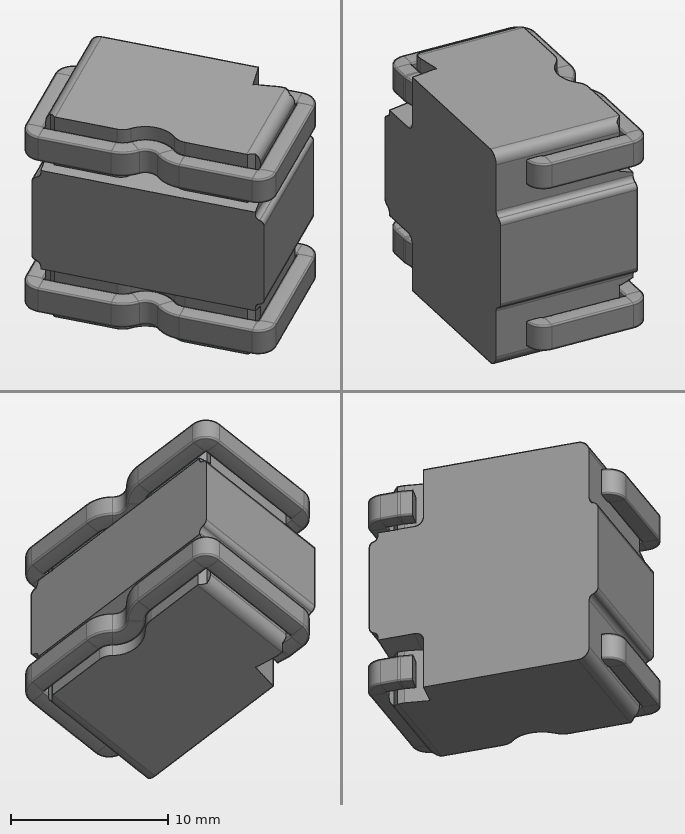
import cadquery as cq
import math


clip_width = 16.8
strip_thickness = 1.2
strip_height = 1.81
strip_center_z = 5.91
strip_crown = 0.029
strip_edge_radius = 0.12
bend_radius = 0.02
left_leg_back = -3.4
right_leg_back = -1.6
tail_bend_x = 6.01
tail_length = 0.77
tail_angle = 10.0
quarter_turn = 90.0
anchor_depth = 0.34

total_depth = 10.5
height = 15.6
middle_width = 15.6
flange_width = clip_width - 2 * strip_thickness
middle_depth = 9.9
flange_depth = total_depth - strip_thickness
flange_corner_radius = 0.77
step_low_z = 2.87
step_high_z = 3.66

bevel_front_z = 3.85
bevel_angle = 19.5
corner_setback = 0.32
corner_chamfer = 0.4

dent_angle = quarter_turn / 2
dent_radius = 2.07
shoulder_radius = 1.18

notch_wall_back_x = 4.1
notch_wall_inner_x = 4.37
notch_floor_z = 3.85
notch_floor_angle = 8.0
notch_fillet_radius = 0.59

half_height = height / 2
half_flange = flange_width / 2
half_middle = middle_width / 2
dent_reach = (dent_radius + shoulder_radius) * math.sin(math.radians(dent_angle))
margin = 0.84


def add_dent(sketch):
    """Continue an outline along the flange front through the three arcs of the dent."""
    full = math.radians(dent_angle)
    half = full / 2
    shoulder_y = shoulder_radius - flange_depth
    middle = (dent_reach - shoulder_radius * math.sin(half), shoulder_y - shoulder_radius * math.cos(half))
    join = (dent_reach - shoulder_radius * math.sin(full), shoulder_y - shoulder_radius * math.cos(full))
    crest = (0, join[1] + dent_radius * (1 - math.cos(full)))
    return (
        sketch.lineTo(-dent_reach, -flange_depth)
        .threePointArc((-middle[0], middle[1]), (-join[0], join[1]))
        .threePointArc(crest, join)
        .threePointArc(middle, (dent_reach, -flange_depth))
    )


def both_ends(shape):
    """The shape together with its mirror image about z = 0."""
    return shape.union(shape.mirror("XY"))


def make_block():
    """Block with narrower, rounded flanges and S-shaped side steps to the middle."""
    core = cq.Workplane("XZ").rect(flange_width, height).extrude(middle_depth)
    core = core.edges("|Y").fillet(flange_corner_radius)
    step_x = (half_flange + half_middle) / 2
    step_z = (step_low_z + step_high_z) / 2
    run = step_x - half_flange
    rise = step_high_z - step_z
    radius = (run**2 + rise**2) / (2 * run)
    half_turn = math.atan2(run, rise)
    arc_x = radius * (1 - math.cos(half_turn))
    arc_z = radius * math.sin(half_turn)
    bulge = (
        cq.Workplane("XZ")
        .moveTo(0, step_high_z)
        .lineTo(half_flange, step_high_z)
        .threePointArc((half_flange + arc_x, step_high_z - arc_z), (step_x, step_z))
        .threePointArc((half_middle - arc_x, step_low_z + arc_z), (half_middle, step_low_z))
        .lineTo(half_middle, 0)
        .lineTo(0, 0)
        .close()
        .extrude(middle_depth)
    )
    bulge = both_ends(bulge)
    return core.union(bulge).union(bulge.mirror("YZ"))


def make_front_relief():
    """Space in front of the upper flange: dent, chamfered corners and sloping floor."""
    outside = half_flange + margin
    front = -middle_depth - margin
    side_x = half_flange - corner_setback
    side_y = -flange_depth + corner_chamfer
    plan = (
        cq.Workplane("XY")
        .moveTo(-outside, front)
        .lineTo(-outside, side_y)
        .lineTo(-side_x, side_y)
        .lineTo(-side_x + corner_chamfer, -flange_depth)
    )
    plan = (
        add_dent(plan)
        .lineTo(side_x - corner_chamfer, -flange_depth)
        .lineTo(side_x, side_y)
        .lineTo(outside, side_y)
        .lineTo(outside, front)
        .close()
        .extrude(half_height + margin)
    )
    slope = math.tan(math.radians(bevel_angle))
    top = half_height + margin
    above_floor = (
        cq.Workplane("YZ")
        .moveTo(front, bevel_front_z - slope * margin)
        .lineTo(0, bevel_front_z + slope * middle_depth)
        .lineTo(0, top)
        .lineTo(front, top)
        .close()
        .extrude(outside, both=True)
    )
    return plan.intersect(above_floor)


def make_notch():
    """Back corner notch of the upper flange: filleted wall and a floor falling to the back."""
    outside = half_flange + margin
    wall_y = right_leg_back - (tail_bend_x - notch_wall_inner_x) * math.tan(math.radians(tail_angle))
    side_x = half_flange - corner_setback
    side_y = right_leg_back - corner_chamfer
    deepest = min(wall_y, side_y)
    plan = (
        cq.Workplane("XY")
        .moveTo(notch_wall_back_x, 0)
        .lineTo(notch_wall_inner_x, wall_y)
        .lineTo(tail_bend_x, right_leg_back)
        .lineTo(side_x - corner_chamfer, right_leg_back)
        .lineTo(side_x, side_y)
        .lineTo(outside, side_y)
        .lineTo(outside, 0)
        .close()
        .extrude(half_height + margin)
    )
    floor_rise = -deepest * math.tan(math.radians(notch_floor_angle))
    above_floor = (
        cq.Workplane("YZ")
        .moveTo(0, notch_floor_z)
        .lineTo(deepest, notch_floor_z + floor_rise)
        .lineTo(deepest, half_height + margin)
        .lineTo(0, half_height + margin)
        .close()
        .extrude(outside)
    )
    notch = plan.intersect(above_floor)
    return notch.faces("<X").edges("<Z").fillet(notch_fillet_radius)


def strip_profile(plane):
    """Strip section: body side at x = 0, rounded edges and slightly crowned ends."""
    side = strip_height / 2
    crown = side + strip_crown
    section = (
        cq.Sketch()
        .segment((0, -side), (0, side))
        .arc((0, side), (strip_thickness / 2, crown), (strip_thickness, side))
        .segment((strip_thickness, side), (strip_thickness, -side))
        .arc((strip_thickness, -side), (strip_thickness / 2, -crown), (0, -side))
        .assemble()
        .vertices()
        .fillet(strip_edge_radius)
    )
    return cq.Workplane(plane).placeSketch(section)


def make_clip():
    """Crowned strip wrapped round the upper flange, built piece by piece along its body side."""
    half_front = half_flange - dent_reach - bend_radius
    left_leg = flange_depth + left_leg_back - 2 * bend_radius
    right_leg = flange_depth + right_leg_back - 2 * bend_radius
    back_run = half_flange - tail_bend_x - 2 * bend_radius
    pieces = [
        (anchor_depth - bend_radius, quarter_turn, bend_radius),
        (left_leg, quarter_turn, bend_radius),
        (half_front, dent_angle, shoulder_radius),
        (0, -2 * dent_angle, -dent_radius),
        (0, dent_angle, shoulder_radius),
        (half_front, quarter_turn, bend_radius),
        (right_leg, quarter_turn, bend_radius),
        (back_run, tail_angle, bend_radius),
        (tail_length, 0, 0),
    ]
    position = cq.Vector(-half_flange + anchor_depth, left_leg_back, strip_center_z)
    heading = cq.Vector(-1, 0, 0)
    up = cq.Vector(0, 0, 1)
    clip = cq.Workplane("XY")
    for length, turn, radius in pieces:
        outward = heading.cross(up)
        if length:
            clip = clip.union(strip_profile(cq.Plane(position, outward, heading)).extrude(length))
            position = position + heading * length
        if turn:
            center = position - outward * radius
            axis_end = (-radius, -math.copysign(1, turn))
            profile = strip_profile(cq.Plane(position, outward, heading))
            clip = clip.union(profile.revolve(abs(turn), (-radius, 0), axis_end))
            spin = math.radians(turn)
            outward_after = outward * math.cos(spin) + heading * math.sin(spin)
            heading = heading * math.cos(spin) - outward * math.sin(spin)
            position = center + outward_after * radius
    return clip


block = make_block()
block = block.cut(both_ends(make_front_relief()))
block = block.cut(both_ends(make_notch()))
result = block.union(both_ends(make_clip()))